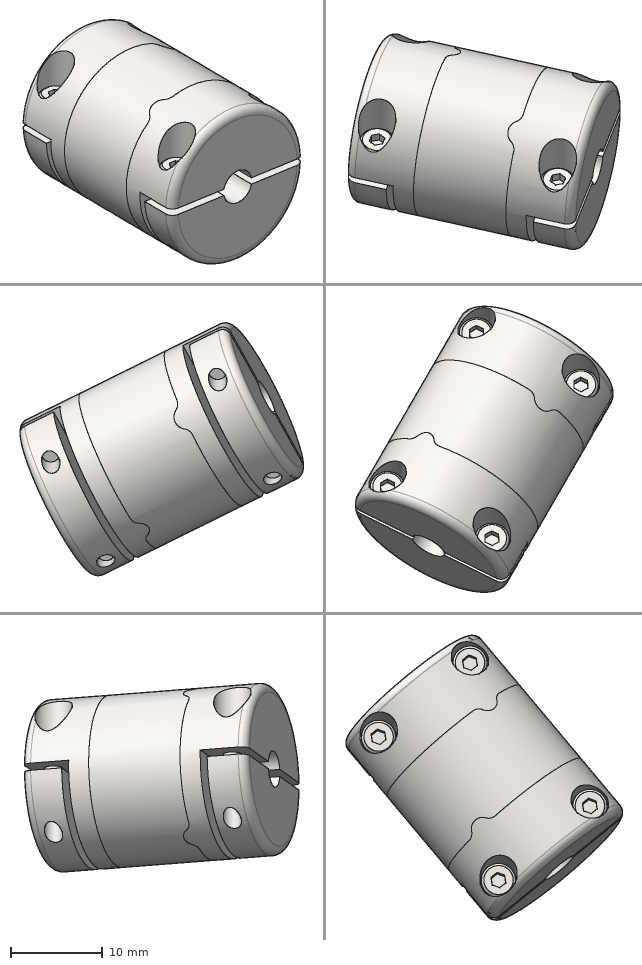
import cadquery as cq
import math

LENGTH = 26.0
OUTER_DIA = 19.0
OUTER_RADIUS = OUTER_DIA / 2
HALF_LENGTH = LENGTH / 2
BORE_DIA = 4.0
END_FILLET = 1.0
SPACER_LENGTH = 10.58
HUB_FACE_X = -SPACER_LENGTH / 2

TONGUE_HEIGHT = 1.15
TONGUE_CROWN_RADIUS = 1.4
TONGUE_ROOT_RADIUS = 1.2
TONGUE_ANGLES = (60, -60)

SLIT_WIDTH = 0.8
JAW_LENGTH = 4.58

SCREW_END_DISTANCE = 2.65
SCREW_X = -HALF_LENGTH + SCREW_END_DISTANCE
SCREW_Y = 6.5
SCREW_DIA = 2.0
SCREW_LENGTH = 6.0
SEAT_Z = 2.0
HEAD_DIA = 3.8
HEAD_HEIGHT = 2.0
HEAD_CHAMFER = 0.29
HEX_FLATS = 1.5
HEX_DEPTH = 1.0
COUNTERBORE_DIA = 4.1


def cylinder_along_x(diameter, x_start, x_end):
    return cq.Workplane("YZ", origin=(x_start, 0, 0)).circle(diameter / 2).extrude(x_end - x_start)


def make_tongue(angle):
    """One tongue of the left hub: a crown arc blended into the hub face by two root arcs."""
    crown_x = TONGUE_HEIGHT - TONGUE_CROWN_RADIUS
    centre_distance = TONGUE_CROWN_RADIUS + TONGUE_ROOT_RADIUS
    half_width = math.sqrt(centre_distance**2 - (TONGUE_ROOT_RADIUS - crown_x) ** 2)

    crown_share = TONGUE_CROWN_RADIUS / centre_distance
    blend_x = crown_x + crown_share * (TONGUE_ROOT_RADIUS - crown_x)
    blend_y = crown_share * half_width

    root_sweep = math.acos((TONGUE_ROOT_RADIUS - blend_x) / TONGUE_ROOT_RADIUS)
    root_mid_x = TONGUE_ROOT_RADIUS * (1 - math.cos(root_sweep / 2))
    root_mid_y = half_width - TONGUE_ROOT_RADIUS * math.sin(root_sweep / 2)

    blank = (
        cq.Workplane("XY")
        .moveTo(0, -half_width)
        .threePointArc((root_mid_x, -root_mid_y), (blend_x, -blend_y))
        .threePointArc((TONGUE_HEIGHT, 0), (blend_x, blend_y))
        .threePointArc((root_mid_x, root_mid_y), (0, half_width))
        .close()
        .extrude(OUTER_DIA)
        .translate((HUB_FACE_X, 0, 0))
        .rotate((0, 0, 0), (1, 0, 0), angle - 90)
    )
    return blank.intersect(cylinder_along_x(OUTER_DIA, -HALF_LENGTH, HALF_LENGTH))


def cut_clamp_jaw(hub):
    """Free the lower half of the outer end with a flat slit and a cross slit below it."""
    flat_slit = cq.Workplane("XY").box(JAW_LENGTH, OUTER_DIA, SLIT_WIDTH)
    flat_slit = flat_slit.translate((-HALF_LENGTH + JAW_LENGTH / 2, 0, 0))
    cross_height = OUTER_RADIUS + SLIT_WIDTH / 2
    cross_slit = cq.Workplane("XY").box(SLIT_WIDTH, OUTER_DIA, cross_height)
    cross_x = -HALF_LENGTH + JAW_LENGTH + SLIT_WIDTH / 2
    cross_slit = cross_slit.translate((cross_x, 0, SLIT_WIDTH / 2 - cross_height / 2))
    return hub.cut(flat_slit).cut(cross_slit)


def cut_screw_hole(hub, y):
    """Counterbore from above and a through hole of the screw diameter."""
    hole = cq.Workplane("XY", origin=(SCREW_X, y, -OUTER_RADIUS)).circle(SCREW_DIA / 2).extrude(OUTER_DIA)
    counterbore = (
        cq.Workplane("XY", origin=(SCREW_X, y, SEAT_Z)).circle(COUNTERBORE_DIA / 2).extrude(OUTER_RADIUS)
    )
    return hub.cut(hole).cut(counterbore)


def make_screw(y):
    """Socket-head screw with a chamfered head, its hexagon corners pointing along Y."""
    hex_corner_dia = HEX_FLATS / math.cos(math.pi / 6)
    head = (
        cq.Workplane("XY", origin=(SCREW_X, y, SEAT_Z))
        .circle(HEAD_DIA / 2)
        .extrude(HEAD_HEIGHT)
        .faces(">Z")
        .chamfer(HEAD_CHAMFER)
    )
    socket = (
        cq.Workplane("XY", origin=(SCREW_X, y, SEAT_Z + HEAD_HEIGHT))
        .transformed(rotate=(0, 0, 90))
        .polygon(6, hex_corner_dia)
        .extrude(-HEX_DEPTH)
    )
    shank = (
        cq.Workplane("XY", origin=(SCREW_X, y, SEAT_Z)).circle(SCREW_DIA / 2).extrude(-SCREW_LENGTH)
    )
    return head.cut(socket).union(shank)


def make_left_hub():
    """Hub and clamp jaw, held together as one solid by the two clamp screws."""
    hub = cylinder_along_x(OUTER_DIA, -HALF_LENGTH, HUB_FACE_X).faces("<X").edges().fillet(END_FILLET)
    for angle in TONGUE_ANGLES:
        hub = hub.union(make_tongue(angle))
    hub = hub.cut(cylinder_along_x(BORE_DIA, -HALF_LENGTH, HALF_LENGTH))
    hub = cut_clamp_jaw(hub)
    for y in (-SCREW_Y, SCREW_Y):
        hub = cut_screw_hole(hub, y).union(make_screw(y))
    return hub


def half_turn(body):
    return body.rotate((0, 0, 0), (0, 0, 1), 180)


def make_spacer():
    """Middle body, recessed at both ends to match the hub tongues."""
    spacer = cylinder_along_x(OUTER_DIA, HUB_FACE_X, -HUB_FACE_X)
    for angle in TONGUE_ANGLES:
        tongue = make_tongue(angle)
        spacer = spacer.cut(tongue).cut(half_turn(tongue))
    return spacer.cut(cylinder_along_x(BORE_DIA, HUB_FACE_X, -HUB_FACE_X))


left_hub = make_left_hub()
right_hub = half_turn(left_hub)
spacer = make_spacer()

result = cq.Compound.makeCompound([left_hub.val(), spacer.val(), right_hub.val()])